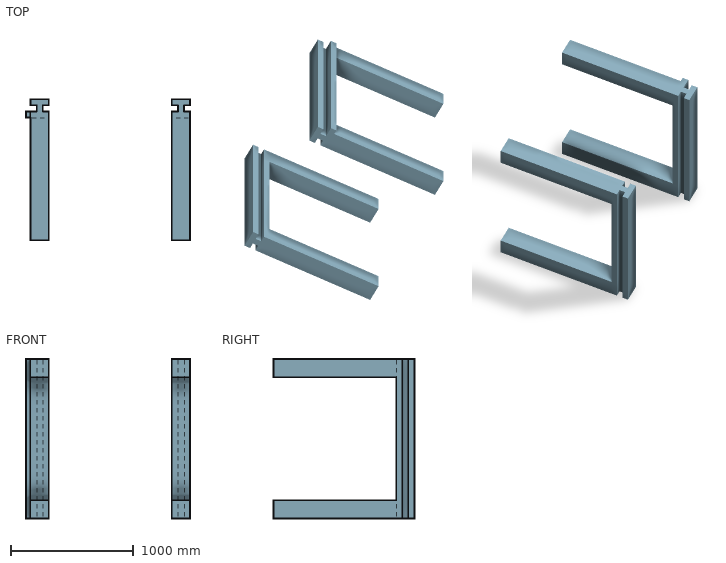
import cadquery as cq

BAR = 150.0
ARM_REACH = 1000.0
ARM_GAP = 1000.0
FRAME_COUNT = 2
FRAME_SPACING = 1150.0
HEIGHT = ARM_GAP + 2 * BAR
DEPTH = ARM_REACH + BAR

GROOVE_WIDTH = 50.0
GROOVE_DEPTH = 50.0
FLANGE = 50.0
GROOVE_FRONT = DEPTH - FLANGE - GROOVE_WIDTH

STRIP_THICKNESS = 37.85
STRIP_WIDTH = 50.0


def box(x, y, z, length, width, height):
    """Box with its lowest corner at (x, y, z)."""
    return cq.Workplane("XY").box(length, width, height, centered=False).translate((x, y, z))


def make_frame(x):
    """C-shaped frame with its left side at x and its arm tips at y = 0."""
    frame = box(x, 0, 0, BAR, DEPTH, HEIGHT)
    frame = frame.cut(box(x, 0, BAR, BAR, ARM_REACH, ARM_GAP))
    for groove_x in (x, x + BAR - GROOVE_DEPTH):
        frame = frame.cut(box(groove_x, GROOVE_FRONT, 0, GROOVE_DEPTH, GROOVE_WIDTH, HEIGHT))
    return frame


def make_strip():
    """Full-height strip against the left frame, just in front of its groove."""
    return box(-STRIP_THICKNESS, GROOVE_FRONT - STRIP_WIDTH, 0, STRIP_THICKNESS, STRIP_WIDTH, HEIGHT)


frames = [make_frame(index * FRAME_SPACING) for index in range(FRAME_COUNT)]
strip = make_strip()

result = cq.Compound.makeCompound([*(frame.val() for frame in frames), strip.val()])